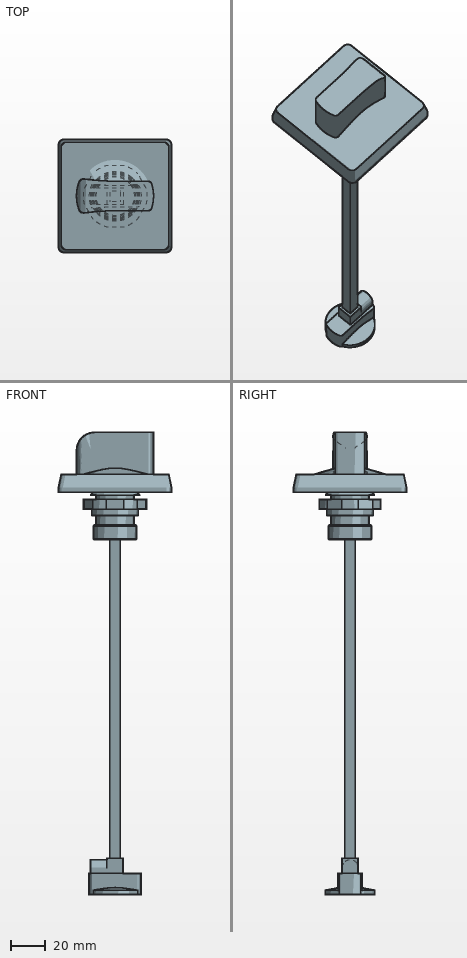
import cadquery as cq
import math

height = 265.5
plate_bottom = 231.0
plate_rim_top = 233.6
plate_top = 241.3
nut_bottom = 221.5
nut_top = 227.0
collar_bottom = 203.6
collar_top = 212.5
washer_bottom = 217.5
seal_bottom = 229.5

plate_side = 65.0
plate_top_side = 61.9
plate_corner_radius = 3.5

knob_radius = 44.3 / 2
knob_half_width = 8.5
knob_flared_half_width = 10.0
knob_corner_radius = 2.5
knob_flared_corner_radius = 3.0
nose_radius = 10.5
cone_radius = 20.7
cone_height = 6.0

neck_radius = 22.0 / 2
seal_top_radius = 12.7
seal_bottom_radius = 14.0
nut_radius = 18.3
nut_across_flats = 35.3
washer_radius = 26.8 / 2
washer_chamfer = 0.5
collar_radius = 12.5
collar_chamfer = 0.8

shaft_side = 6.0

flange_radius = 14.3
flange_rim_height = 2.7
crown_radius = 27.5 / 2
crown_height = 2.7
grip_radius = 30.0 / 2
grip_half_width = 6.0
grip_flared_half_width = 14.0 / 2
grip_corner_radius = 1.3
grip_flared_corner_radius = 1.3
grip_height = 12.2
hub_side = 9.3
hub_top = 21.0
pin_reach = 14.0
pin_top = 20.2


def cylinder(radius, bottom, top):
    return cq.Workplane("XY").workplane(offset=bottom).circle(radius).extrude(top - bottom)


def flared_bar(
    end_radius, half_width, flared_half_width, corner_radius, flared_corner_radius, bottom, top
):
    """Bar with round ends, parallel sides at +X and sides that curve outward at -X."""
    end_x = math.sqrt(end_radius**2 - half_width**2)
    flared_x = math.sqrt(end_radius**2 - flared_half_width**2)
    flare = flared_half_width - half_width
    flare_radius = (flared_x**2 + flare**2) / (2 * flare)
    bar = (
        cq.Workplane("XY")
        .workplane(offset=bottom)
        .moveTo(end_x, half_width)
        .lineTo(0, half_width)
        .radiusArc((-flared_x, flared_half_width), flare_radius)
        .threePointArc((-end_radius, 0), (-flared_x, -flared_half_width))
        .radiusArc((0, -half_width), flare_radius)
        .lineTo(end_x, -half_width)
        .threePointArc((end_radius, 0), (end_x, half_width))
        .close()
        .extrude(top - bottom)
    )
    bar = bar.edges("|Z").edges(">X").fillet(corner_radius)
    return bar.edges("|Z").edges("<X").fillet(flared_corner_radius)


def rounded_square(side, corner_radius):
    return cq.Sketch().rect(side, side).vertices().fillet(corner_radius)


def make_plate():
    top_corner_radius = plate_corner_radius * plate_top_side / plate_side
    base = rounded_square(plate_side, plate_corner_radius)
    top = rounded_square(plate_top_side, top_corner_radius)
    rim = (
        cq.Workplane("XY")
        .workplane(offset=plate_bottom)
        .placeSketch(base)
        .extrude(plate_rim_top - plate_bottom)
    )
    taper = (
        cq.Workplane("XY")
        .workplane(offset=plate_rim_top)
        .placeSketch(base, top.moved(cq.Location(cq.Vector(0, 0, plate_top - plate_rim_top))))
        .loft()
    )
    return rim.union(taper)


def make_knob():
    bar = flared_bar(
        knob_radius,
        knob_half_width,
        knob_flared_half_width,
        knob_corner_radius,
        knob_flared_corner_radius,
        plate_top,
        height,
    )
    nose_x = nose_radius - knob_radius
    nose_z = height - nose_radius
    arc_offset = nose_radius * math.sqrt(0.5)
    nose_waste = (
        cq.Workplane("XZ")
        .moveTo(-knob_radius, nose_z)
        .threePointArc((nose_x - arc_offset, nose_z + arc_offset), (nose_x, height))
        .lineTo(-knob_radius, height)
        .close()
        .extrude(knob_radius, both=True)
    )
    cone = cq.Workplane(cq.Solid.makeCone(cone_radius, 0, cone_height, cq.Vector(0, 0, plate_top)))
    return bar.cut(nose_waste).union(cone)


def make_neck():
    neck = cylinder(neck_radius, collar_bottom, plate_bottom)
    seal = cq.Workplane(
        cq.Solid.makeCone(
            seal_bottom_radius, seal_top_radius, plate_bottom - seal_bottom, cq.Vector(0, 0, seal_bottom)
        )
    )
    hexagon = (
        cq.Workplane("XY")
        .workplane(offset=nut_bottom)
        .polygon(6, nut_across_flats, circumscribed=True)
        .extrude(nut_top - nut_bottom)
        .rotate((0, 0, 0), (0, 0, 1), 30)
    )
    nut = cylinder(nut_radius, nut_bottom, nut_top).intersect(hexagon)
    washer = cylinder(washer_radius, washer_bottom, nut_bottom).faces("<Z").chamfer(washer_chamfer)
    collar = cylinder(collar_radius, collar_bottom, collar_top).edges().chamfer(collar_chamfer)
    return neck.union(seal).union(nut).union(washer).union(collar)


def make_shaft():
    return (
        cq.Workplane("XY")
        .workplane(offset=hub_top)
        .rect(shaft_side, shaft_side)
        .extrude(collar_bottom - hub_top)
    )


def make_coupling():
    flange = cylinder(flange_radius, 0, flange_rim_height)
    crown = cq.Workplane(
        cq.Solid.makeCone(crown_radius, 0, crown_height, cq.Vector(0, 0, flange_rim_height))
    )
    grip = flared_bar(
        grip_radius,
        grip_half_width,
        grip_flared_half_width,
        grip_corner_radius,
        grip_flared_corner_radius,
        0,
        grip_height,
    )
    hub = (
        cq.Workplane("XY")
        .workplane(offset=grip_height)
        .rect(hub_side, hub_side)
        .extrude(hub_top - grip_height)
    )
    pin_radius = hub_side / 2
    pin_shoulder = pin_top - pin_radius
    pin = (
        cq.Workplane("YZ")
        .moveTo(-pin_radius, grip_height)
        .lineTo(-pin_radius, pin_shoulder)
        .threePointArc((0, pin_top), (pin_radius, pin_shoulder))
        .lineTo(pin_radius, grip_height)
        .close()
        .extrude(-pin_reach)
    )
    return flange.union(crown).union(grip).union(hub).union(pin)


result = make_plate().union(make_knob()).union(make_neck()).union(make_shaft()).union(make_coupling())